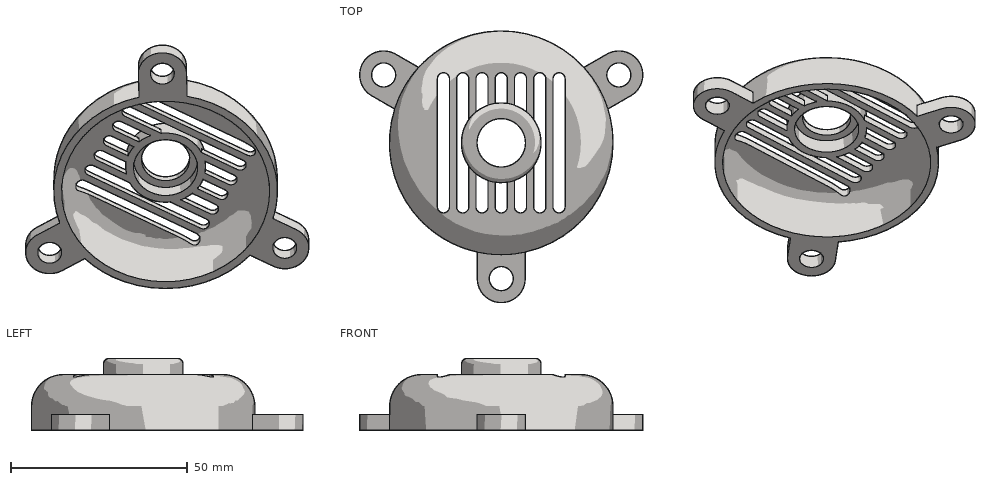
import cadquery as cq
import math

overall_width = 80.4
overall_height = 20.4

cover_radius = 31.75
cover_height = 15.8
shoulder_radius = 9.1
wall_thickness = 2.25

boss_radius = 11.3
boss_rounding = 1.7
bore_radius = 6.8

lug_count = 3
lug_radius = 6.8
lug_thickness = 4.5
lug_hole_radius = 3.4
first_lug_angle = -90.0
lug_distance = (overall_width / 2 - lug_radius) / math.cos(math.radians(30))

slot_count = 7
slot_width = 3.4
slot_length = 39.7
slot_pitch = 5.5


def domed_cylinder(radius, height, shoulder):
    """Cylinder standing on Z = 0 with a rounded top edge."""
    return cq.Workplane("XY").circle(radius).extrude(height).faces(">Z").edges().fillet(shoulder)


def mounting_lug(angle):
    """Round-ended tab reaching from the axis to its screw hole."""
    tab_plane = cq.Workplane("XY").center(lug_distance / 2, 0)
    tip_plane = cq.Workplane("XY").center(lug_distance, 0)
    tab = tab_plane.rect(lug_distance, 2 * lug_radius).extrude(lug_thickness)
    tip = tip_plane.circle(lug_radius).extrude(lug_thickness)
    hole = tip_plane.circle(lug_hole_radius).extrude(lug_thickness)
    return tab.union(tip).cut(hole).rotate((0, 0, 0), (0, 0, 1), angle)


body = domed_cylinder(cover_radius, cover_height, shoulder_radius)
for index in range(lug_count):
    body = body.union(mounting_lug(first_lug_angle + index * 360 / lug_count))

cavity_height = cover_height - wall_thickness
cavity = domed_cylinder(cover_radius - wall_thickness, cavity_height, shoulder_radius - wall_thickness)
body = body.cut(cavity)

slots = (
    cq.Workplane("XY")
    .rarray(slot_pitch, 0.8, slot_count, 1)
    .slot2D(slot_length, slot_width, 90)
    .extrude(overall_height)
)
body = body.cut(slots)

boss = domed_cylinder(boss_radius, overall_height - cavity_height, boss_rounding)
boss = boss.translate((0, 0, cavity_height))
bore = cq.Workplane("XY").circle(bore_radius).extrude(overall_height)

recess_radius = boss_radius - wall_thickness
recess = cq.Workplane("XY").circle(recess_radius).extrude(overall_height - wall_thickness)

result = body.union(boss).cut(bore).cut(recess)